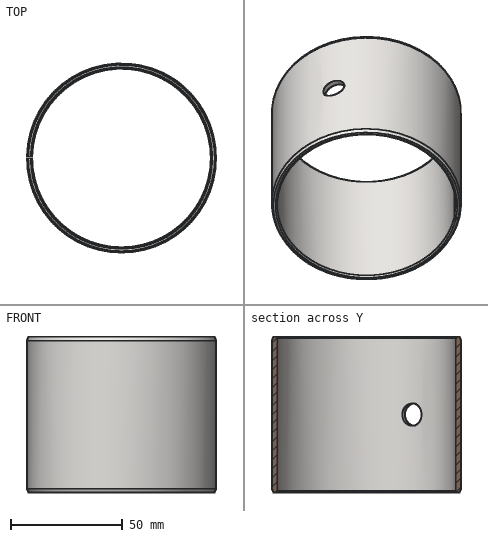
import cadquery as cq

outer_diameter = 85.0
wall = 2.5
length = 70.0

outer_chamfer_length = 1.8
outer_chamfer_depth = 0.7
inner_chamfer = 0.8

oil_hole_diameter = 10.0
oil_hole_angle = 59.2

gap_width = 0.8

outer_radius = outer_diameter / 2
inner_radius = outer_radius - wall
half_length = length / 2


def make_sleeve():
    """Revolve the wall section, chamfered at all four corners."""
    section = [
        (inner_radius + inner_chamfer, -half_length),
        (outer_radius - outer_chamfer_depth, -half_length),
        (outer_radius, -half_length + outer_chamfer_length),
        (outer_radius, half_length - outer_chamfer_length),
        (outer_radius - outer_chamfer_depth, half_length),
        (inner_radius + inner_chamfer, half_length),
        (inner_radius, half_length - inner_chamfer),
        (inner_radius, -half_length + inner_chamfer),
    ]
    return cq.Workplane("XZ").polyline(section).close().revolve(360, (0, 0, 0), (0, 1, 0))


def make_joint_gap():
    """Full-length slab that opens the sleeve on its -X side."""
    return cq.Workplane("XY").box(
        outer_radius, gap_width, length, centered=(False, False, True)
    ).translate((-outer_radius, 0, 0))


def make_oil_hole():
    """Cylinder from the axis out through one side of the wall."""
    drill = cq.Workplane("YZ").circle(oil_hole_diameter / 2).extrude(outer_diameter)
    return drill.rotate((0, 0, 0), (0, 0, 1), oil_hole_angle)


result = make_sleeve().cut(make_joint_gap()).cut(make_oil_hole())